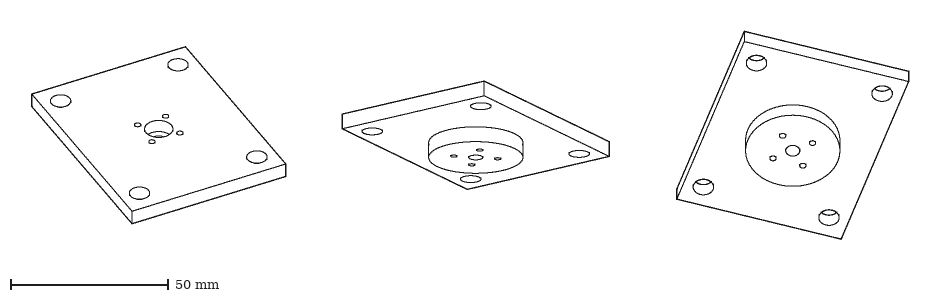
import cadquery as cq

plate_length = 70.0
plate_width = 55.0
total_height = 10.0
plate_thickness = total_height / 2
boss_diameter = 30.0

corner_hole_diameter = 6.5
corner_spacing_x = 55.0
corner_spacing_y = 42.0

small_hole_diameter = 2.0
small_hole_spacing = 10.0

bore_diameter = 4.5
counterbore_diameter = 9.0
counterbore_depth = 4.4

boss_height = total_height - plate_thickness


def drill_rectangle(body, spacing_x, spacing_y, diameter):
    """Drill four through holes at the corners of a centred rectangle."""
    return (
        body.faces(">Z").workplane(origin=(0, 0, 0))
        .rect(spacing_x, spacing_y, forConstruction=True)
        .vertices()
        .hole(diameter)
    )


plate = cq.Workplane("XY").box(
    plate_length, plate_width, plate_thickness, centered=(True, True, False)
)
boss = cq.Workplane("XY").circle(boss_diameter / 2).extrude(-boss_height)
body = plate.union(boss)

body = drill_rectangle(body, corner_spacing_x, corner_spacing_y, corner_hole_diameter)
body = drill_rectangle(body, small_hole_spacing, small_hole_spacing, small_hole_diameter)

result = (
    body.faces(">Z").workplane(origin=(0, 0, 0))
    .cboreHole(bore_diameter, counterbore_diameter, counterbore_depth)
)